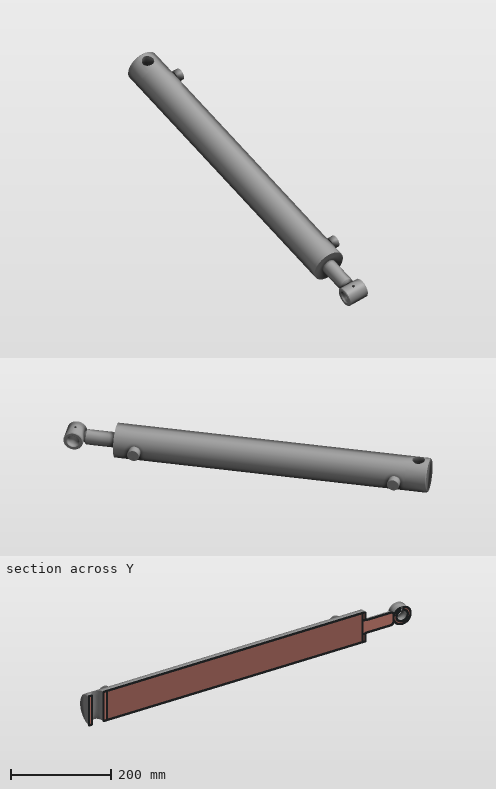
import cadquery as cq

body_diameter = 70.0
base_cap_length = 43.0
base_cap_chamfer = 2.0
base_pin_hole_diameter = 25.0
base_pin_hole_x = base_cap_length / 2
gland_end_x = 638.0
gland_length = 7.0
barrel_end_x = gland_end_x - gland_length
barrel_length = barrel_end_x - base_cap_length

port_diameter = 25.0
port_height = 15.0
port_chamfer = 1.0
port_positions_x = [64.0, 594.0]

overall_length = 742.0
eye_diameter = 40.0
eye_width = 45.0
eye_bore_diameter = 25.0
eye_rim_chamfer = 1.5
eye_bore_chamfer = 1.0
grease_hole_diameter = 6.0
eye_x = overall_length - eye_diameter / 2
rod_diameter = 31.0
rod_chamfer = 5.0
rod_end_x = 703.0


def cylinder_along_x(start_x, diameter, length):
    return cq.Workplane("YZ", origin=(start_x, 0, 0)).circle(diameter / 2).extrude(length)


def cylinder_across_y(center_x, diameter, length):
    start = cq.Workplane("XZ", origin=(center_x, length / 2, 0))
    return start.circle(diameter / 2).extrude(length)


def cylinder_across_z(center_x, diameter, length):
    start = cq.Workplane("XY", origin=(center_x, 0, -length / 2))
    return start.circle(diameter / 2).extrude(length)


def make_base_cap():
    cap = cylinder_along_x(0, body_diameter, base_cap_length).faces("<X").chamfer(base_cap_chamfer)
    return cap.cut(cylinder_across_z(base_pin_hole_x, base_pin_hole_diameter, body_diameter))


def make_barrel():
    return cylinder_along_x(base_cap_length, body_diameter, barrel_length)


def make_gland():
    ring = cylinder_along_x(barrel_end_x, body_diameter, gland_length)
    return ring.cut(cylinder_along_x(barrel_end_x, rod_diameter, gland_length))


def make_port(center_x):
    foot = cq.Workplane("XZ", origin=(center_x, body_diameter / 2, 0))
    return foot.circle(port_diameter / 2).extrude(-port_height).faces(">Y").chamfer(port_chamfer)


def make_rod():
    rod = cylinder_along_x(barrel_end_x, rod_diameter, rod_end_x - barrel_end_x)
    rod = rod.faces(">X").chamfer(rod_chamfer)
    return rod.cut(cylinder_across_y(eye_x, eye_diameter, eye_width))


def make_eye():
    eye = cylinder_across_y(eye_x, eye_diameter, eye_width)
    eye = eye.faces("<Y or >Y").chamfer(eye_rim_chamfer)
    eye = eye.cut(cylinder_across_y(eye_x, eye_bore_diameter, eye_width))
    bore_edges = cq.selectors.RadiusNthSelector(0)
    eye = eye.faces("<Y or >Y").edges(bore_edges).chamfer(eye_bore_chamfer)
    grease_hole = cq.Workplane("XY", origin=(eye_x, 0, 0)).circle(grease_hole_diameter / 2)
    return eye.cut(grease_hole.extrude(eye_diameter / 2))


base_cap = make_base_cap()
barrel = make_barrel()
gland = make_gland()
rod = make_rod()
eye = make_eye()
ports = [make_port(x) for x in port_positions_x]

result = cq.Compound.makeCompound(
    [base_cap.val(), barrel.val(), gland.val(), rod.val(), eye.val(), *[port.val() for port in ports]]
)